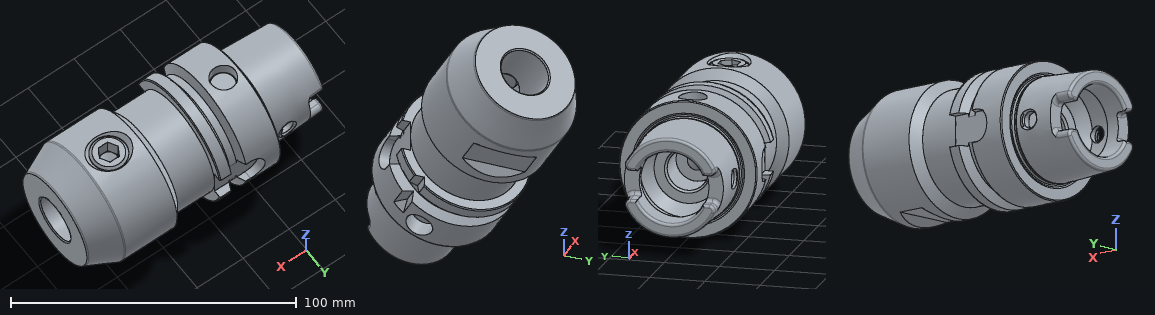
import cadquery as cq
import math


shank_length = 25.0
taper_ratio = 9.98
taper_gauge_diameter = 38.01
taper_gauge_x = -5.0
taper_end_x = -1.9
relief_start_x = -1.25
relief_end_x = -0.6
relief_radius = 18.9
face_recess_depth = 0.3
face_recess_inner_radius = 19.3
face_recess_floor_radius = 19.9
face_recess_outer_radius = 20.5

flange_radius = 50.0 / 2
flange_width = 26.0
flange_chamfer = 0.4
groove_x = 18.0
groove_radius = 43.0 / 2
groove_floor_width = 3.0
groove_mouth_width = 6.4

neck_radius = 42.0 / 2
neck_end_x = 42.0
head_start_x = 45.0
head_radius = 49.5 / 2
head_end_x = 67.35
nose_start_x = 67.9
nose_start_radius = 24.6
nose_end_x = 79.4
nose_end_radius = 19.3
tool_end_x = 80.0
tool_end_radius = 19.0

shank_bore_radius = 26.0 / 2
clamping_radius = 32.0 / 2
clamping_start_x = -15.3
clamping_angle = 60.0
shank_bore_floor_x = -1.0
shank_bore_floor_radius = 24.0 / 2
tube_thread_radius = 14.92 / 2
tube_thread_depth = 13.0
tube_chamfer_radius = 16.5 / 2
centre_cone_radius = 6.8 / 2
drill_tip_angle = 118.0
tool_bore_radius = 18.0 / 2
tool_bore_depth = 50.0
tool_bore_chamfer = 0.5

drive_slot_width = 10.54
front_drive_slot_depth = 4.55
rear_drive_slot_depth = 7.4
slot_mouth_fillet = 2.0
slot_floor_fillet = 1.5
shank_end_fillet = 1.0

access_hole_x = -7.5
access_hole_radius = 6.0 / 2
access_sink_radius = 8.0 / 2
access_sink_depth = 1.0

keyway_width = 11.7
keyway_floor = 21.0
keyway_end_x = 6.9
notch_floor = 15.75
notch_angle = 45.0
notch_apex_x = 10.7
notch_outer_x = 6.9

chip_radius = 10.0 / 2
chip_x = 6.8
chip_hole_floor = 19.0
chip_thickness = 1.0
chip_chamfer = 0.4
balance_hole_angle = 23.0

screw_x = 56.5
screw_radius = 14.0 / 2
screw_tip_radius = 11.84 / 2
screw_top = 23.6
screw_bottom = 9.5
screw_sink_radius = 17.6 / 2
screw_sink_angle = 45.0
hex_across_flats = 7.0
hex_depth = 6.0

cut_floor = 21.7
cut_floor_width = 10.3
cut_mouth_width = 15.8


def taper_radius(x):
    return (taper_gauge_diameter + (x - taper_gauge_x) / taper_ratio) / 2


def tube(points):
    """Turn an outline of (x, radius) points about the X axis."""
    return cq.Workplane("XY").polyline(points).close().revolve(360, (0, 0, 0), (1, 0, 0))


def upright_cone(x, bottom, bottom_radius, top, top_radius):
    """Cone frustum or cylinder standing along Z at the given x."""
    outline = [(bottom_radius, bottom), (top_radius, top), (0, top)]
    if bottom_radius > 0:
        outline.append((0, bottom))
    cone = cq.Workplane("XZ").polyline(outline).close().revolve(360, (0, 0, 0), (0, 1, 0))
    return cone.translate((x, 0, 0))


def turn(solid, angle):
    return solid.rotate((0, 0, 0), (1, 0, 0), angle)


def shank_and_flange():
    half_floor = groove_floor_width / 2
    half_mouth = groove_mouth_width / 2
    return tube([
        (-shank_length, 0),
        (-shank_length, taper_radius(-shank_length)),
        (taper_end_x, taper_radius(taper_end_x)),
        (relief_start_x, relief_radius),
        (relief_end_x, relief_radius),
        (face_recess_depth, face_recess_inner_radius),
        (face_recess_depth, face_recess_floor_radius),
        (0, face_recess_outer_radius),
        (0, flange_radius - flange_chamfer),
        (flange_chamfer, flange_radius),
        (groove_x - half_mouth, flange_radius),
        (groove_x - half_floor, groove_radius),
        (groove_x + half_floor, groove_radius),
        (groove_x + half_mouth, flange_radius),
        (flange_width - flange_chamfer, flange_radius),
        (flange_width, flange_radius - flange_chamfer),
        (flange_width, 0),
    ])


def neck_and_head():
    return tube([
        (flange_width, 0),
        (flange_width, neck_radius),
        (neck_end_x, neck_radius),
        (head_start_x, head_radius),
        (head_end_x, head_radius),
        (nose_start_x, nose_start_radius),
        (nose_end_x, nose_end_radius),
        (tool_end_x, tool_end_radius),
        (tool_end_x, 0),
    ])


def shank_bore():
    cone_length = (clamping_radius - shank_bore_radius) / math.tan(math.radians(clamping_angle))
    end_length = clamping_radius - shank_bore_floor_radius
    tube_floor = shank_bore_floor_x + tube_thread_depth
    tube_chamfer = tube_chamfer_radius - tube_thread_radius
    tip_length = centre_cone_radius / math.tan(math.radians(drill_tip_angle / 2))
    return tube([
        (-shank_length, 0),
        (-shank_length, shank_bore_radius),
        (clamping_start_x, shank_bore_radius),
        (clamping_start_x + cone_length, clamping_radius),
        (shank_bore_floor_x - end_length, clamping_radius),
        (shank_bore_floor_x, shank_bore_floor_radius),
        (shank_bore_floor_x, tube_chamfer_radius),
        (shank_bore_floor_x + tube_chamfer, tube_thread_radius),
        (tube_floor, tube_thread_radius),
        (tube_floor, centre_cone_radius),
        (tube_floor - tip_length, 0),
    ])


def tool_bore():
    return tube([
        (tool_end_x - tool_bore_depth, 0),
        (tool_end_x - tool_bore_depth, tool_bore_radius),
        (tool_end_x - tool_bore_chamfer, tool_bore_radius),
        (tool_end_x, tool_bore_radius + tool_bore_chamfer),
        (tool_end_x, 0),
    ])


def cut_drive_slots(shank):
    """Slots across both sides of the shank end, with rounded mouth and floor corners."""
    half_width = drive_slot_width / 2
    slots = ((-1, front_drive_slot_depth), (1, rear_drive_slot_depth))
    mouth_points = []
    for side, depth in slots:
        slot = cq.Workplane("XY").box(2 * depth, flange_radius, drive_slot_width)
        shank = shank.cut(slot.translate((-shank_length, side * flange_radius / 2, 0)))
        edge_x = depth / 2 - shank_length
        edge_y = side * math.sqrt(taper_radius(edge_x) ** 2 - half_width ** 2)
        mouth_points += [(edge_x, edge_y, -half_width), (edge_x, edge_y, half_width)]

    mouth_edges = [
        shank.edges(cq.selectors.NearestToPointSelector(point)).val() for point in mouth_points
    ]
    shank = shank.newObject(mouth_edges).fillet(slot_mouth_fillet)

    for side, depth in slots:
        floor_x = depth - shank_length
        wall_middle = (shank_bore_radius + taper_radius(floor_x)) / 2
        floor_face = shank.faces(cq.selectors.NearestToPointSelector((floor_x, side * wall_middle, 0)))
        shank = floor_face.edges("|Y").fillet(slot_floor_fillet)
    return shank


def access_hole(side):
    """Cross hole in the shank wall, countersunk outside."""
    outside = taper_radius(access_hole_x)
    sink_floor = outside - access_sink_depth
    hole = upright_cone(access_hole_x, 0, access_hole_radius, flange_radius, access_hole_radius)
    sink = upright_cone(access_hole_x, sink_floor, access_hole_radius, outside, access_sink_radius)
    return turn(hole.union(sink), -90 * side)


def keyway(side):
    """Round-ended keyway, open towards the neck."""
    radius = keyway_width / 2
    centre_x = keyway_end_x + radius
    depth = flange_radius - keyway_floor
    outline = (
        cq.Workplane("XZ")
        .moveTo(flange_width, radius)
        .lineTo(centre_x, radius)
        .threePointArc((keyway_end_x, 0), (centre_x, -radius))
        .lineTo(flange_width, -radius)
        .close()
    )
    return outline.extrude(depth).translate((0, side * keyway_floor + depth * (side + 1) / 2, 0))


def index_notch():
    """Right-angled notch towards the -Y, -Z corner, its end sloping out towards the shank."""
    corner = cq.Workplane("XY").box(flange_width, flange_radius, flange_radius, centered=False)
    corner = turn(corner, 180).translate((0, -notch_floor, -notch_floor))
    apex_radius = notch_floor * math.sqrt(2)
    side_profile = [
        (notch_apex_x, -apex_radius),
        (notch_outer_x, -flange_radius),
        (flange_width, -flange_radius),
        (flange_width, -apex_radius),
    ]
    slab = cq.Workplane("XZ").polyline(side_profile).close().extrude(flange_radius, both=True)
    return corner.intersect(turn(slab, -notch_angle))


def chip_hole():
    return upright_cone(chip_x, chip_hole_floor, chip_radius, flange_radius, chip_radius)


def screw_hole():
    sink_floor = head_radius - (screw_sink_radius - screw_radius) / math.tan(math.radians(screw_sink_angle))
    hole = upright_cone(screw_x, 0, screw_radius, head_radius, screw_radius)
    sink = upright_cone(screw_x, sink_floor, screw_radius, head_radius, screw_sink_radius)
    return hole.union(sink)


def balancing_cut():
    outline = [
        (screw_x - cut_mouth_width / 2, -head_radius),
        (screw_x - cut_floor_width / 2, -cut_floor),
        (screw_x + cut_floor_width / 2, -cut_floor),
        (screw_x + cut_mouth_width / 2, -head_radius),
    ]
    return cq.Workplane("XZ").polyline(outline).close().extrude(head_radius, both=True)


def build_holder():
    shank = cut_drive_slots(shank_and_flange().cut(shank_bore()))
    shank = shank.faces("<X").edges().fillet(shank_end_fillet)
    for side in (-1, 1):
        shank = shank.cut(access_hole(side))
        shank = shank.cut(keyway(side))
    shank = shank.cut(index_notch())
    shank = shank.cut(chip_hole())
    shank = shank.cut(turn(chip_hole(), 180 - balance_hole_angle))

    head = neck_and_head().cut(tool_bore())
    head = head.cut(screw_hole())
    head = head.cut(balancing_cut())
    return shank.union(head)


def build_chip():
    chip = upright_cone(
        chip_x, chip_hole_floor, chip_radius, chip_hole_floor + chip_thickness, chip_radius
    )
    return chip.faces(">Z").edges().chamfer(chip_chamfer)


def build_screw():
    """Set screw with chamfered ends and a hexagon socket that ends in a drill cone."""
    chamfer = screw_radius - screw_tip_radius
    screw = upright_cone(screw_x, screw_bottom, screw_radius, screw_top, screw_radius)
    screw = screw.faces("<Z or >Z").edges().chamfer(chamfer)
    socket_floor = screw_top - hex_depth
    corner_diameter = hex_across_flats / math.cos(math.radians(30))
    socket = (
        cq.Workplane("XY", origin=(screw_x, 0, socket_floor))
        .polygon(6, corner_diameter)
        .extrude(hex_depth)
    )
    cone_radius = hex_across_flats / 2
    cone_depth = cone_radius / math.tan(math.radians(drill_tip_angle / 2))
    cone = upright_cone(screw_x, socket_floor - cone_depth, 0, socket_floor, cone_radius)
    return screw.cut(socket).cut(cone)


holder = build_holder()
chip = build_chip()
screw = build_screw()
result = cq.Compound.makeCompound([holder.val(), chip.val(), screw.val()])